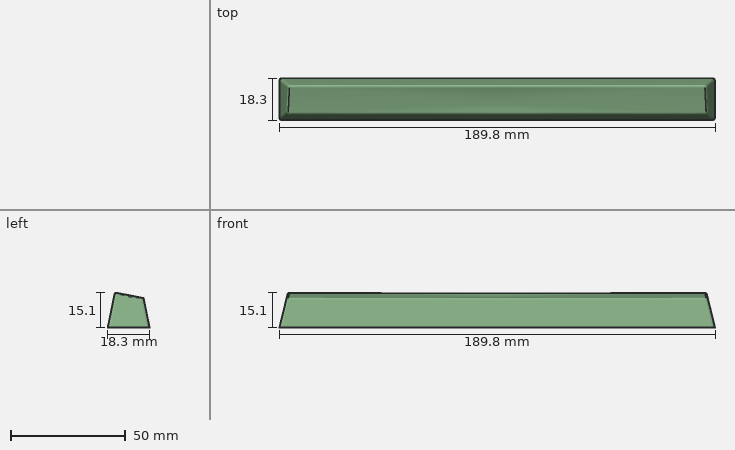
import cadquery as cq
import math

LENGTH = 189.75
WIDTH = 18.3
HEIGHT = 15.14

END_DRAFT = math.radians(13.75)
SIDE_DRAFT = math.radians(11.5)
TOP_TILT = math.radians(11)

MIDDLE_SAG = 0.7
END_SAG = 0.1

ARC_OVERRUN = 1.5

CORNER_RADIUS = 1.25
RIM_RADIUS = 0.9

draft_slope = math.tan(SIDE_DRAFT)
top_slope = math.tan(TOP_TILT)
top_width = WIDTH - 2 * HEIGHT * draft_slope
end_rim_tilt = TOP_TILT + 2 * math.atan(2 * END_SAG / top_width)
rim_center_drop = (
    RIM_RADIUS
    * (math.cos(SIDE_DRAFT) + math.sin(end_rim_tilt))
    / math.cos(SIDE_DRAFT - end_rim_tilt)
)
back_z = HEIGHT + rim_center_drop - RIM_RADIUS
back_y = WIDTH / 2 - back_z * draft_slope
front_z = (back_z - (WIDTH / 2 + back_y) * top_slope) / (1 - draft_slope * top_slope)
front_y = front_z * draft_slope - WIDTH / 2
TOP_MIDDLE = ((front_y + back_y) / 2, (front_z + back_z) / 2)
HALF_CHORD = (back_y - front_y) / 2 / math.cos(TOP_TILT)


def tapered_body():
    """Rectangular block with inward-leaning walls and rounded upright corners."""
    block_height = HEIGHT + CORNER_RADIUS
    block_top_length = LENGTH - 2 * block_height * math.tan(END_DRAFT)
    block_top_width = WIDTH - 2 * block_height * draft_slope
    body = (
        cq.Workplane("XY")
        .rect(LENGTH, WIDTH)
        .workplane(offset=block_height)
        .rect(block_top_length, block_top_width)
        .loft(ruled=True)
    )
    return body.faces("<X or >X").edges("not |Y").fillet(CORNER_RADIUS)


def dish_section(x, sag):
    """Outline, across the length at x, of the space above the dished top.

    The arc meets the sharp front and back rims and sags below their chord.
    """
    radius = (HALF_CHORD**2 + sag**2) / (2 * sag)
    reach = HALF_CHORD + ARC_OVERRUN
    arc_end = radius - sag - math.sqrt(radius**2 - reach**2)
    tilted = cq.Plane(
        origin=(x, *TOP_MIDDLE),
        xDir=(0, math.cos(TOP_TILT), math.sin(TOP_TILT)),
        normal=(1, 0, 0),
    )
    return (
        cq.Workplane(tilted)
        .moveTo(-reach, arc_end)
        .threePointArc((0, -sag), (reach, arc_end))
        .lineTo(reach, WIDTH)
        .lineTo(-reach, WIDTH)
        .close()
        .wire()
        .val()
    )


def dish_cutter():
    """Space above the top, deepest at mid-length and fading toward both ends."""
    sections = [
        dish_section(-LENGTH / 2, END_SAG),
        dish_section(0, MIDDLE_SAG),
        dish_section(LENGTH / 2, END_SAG),
    ]
    return cq.Workplane(cq.Solid.makeLoft(sections))


dished_body = tapered_body().cut(dish_cutter())
top_face = dished_body.faces(cq.selectors.NearestToPointSelector((0, *TOP_MIDDLE)))
result = top_face.edges().fillet(RIM_RADIUS)